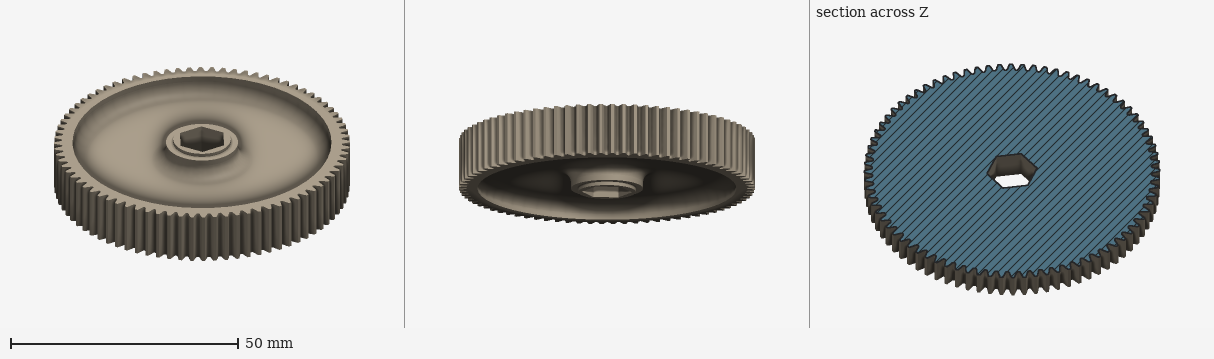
import cadquery as cq
import math

overall_width = 65.05
face_width = 11.1
hub_length = 12.7

web_thickness = 2.55
pocket_fillet_radius = 3.0
rim_inner_radius = 28.5
boss_radius = 7.95
hub_diameter = 12.7
hex_across_flats = 9.55

tooth_count = 80
pressure_angle = math.radians(20)
addendum_factor = 1.0
dedendum_factor = 1.25
tooth_pitch = 2 * math.pi / tooth_count


def half_gap_angle(radius_ratio):
    """Half of the angle left open by a tooth gap, at a radius given as a multiple of the pitch radius."""
    local_pressure_angle = math.acos(math.cos(pressure_angle) / radius_ratio)
    involute_at_pitch = math.tan(pressure_angle) - pressure_angle
    involute_here = math.tan(local_pressure_angle) - local_pressure_angle
    return tooth_pitch / 4 - involute_at_pitch + involute_here


tip_ratio = 1 + 2 * addendum_factor / tooth_count
tip_half_gap = half_gap_angle(tip_ratio)
tip_radius = overall_width / 2 / math.cos(tip_half_gap)
pitch_radius = tip_radius / tip_ratio
module = 2 * pitch_radius / tooth_count
root_radius = pitch_radius - dedendum_factor * module

floor_radius = 0.4
floor_point_angles = (math.radians(35), math.radians(70))
floor_centre_radius = root_radius + floor_radius

flank_height_factors = (-0.5, 0, 0.5, addendum_factor)


def polar(radius, angle):
    """Point at the given radius and angle from +X."""
    return radius * math.cos(angle), radius * math.sin(angle)


def half_gap_points():
    """Points up one side of the gap centred on +X, as (radius, angle), from above its bottom to the tip."""
    points = []
    for floor_angle in floor_point_angles:
        x = floor_centre_radius - floor_radius * math.cos(floor_angle)
        y = floor_radius * math.sin(floor_angle)
        points.append((math.hypot(x, y), math.atan2(y, x)))
    for height_factor in flank_height_factors:
        radius = pitch_radius + height_factor * module
        points.append((radius, half_gap_angle(radius / pitch_radius)))
    return points


def gear_blank():
    """Solid toothed disc. Each gap is one smooth curve: down a flank, round the floor and up the next."""
    right_side = half_gap_points()
    left_side = [(radius, -angle) for radius, angle in reversed(right_side)]
    gap_profile = left_side + [(root_radius, 0)] + right_side
    outline = cq.Workplane("XY").workplane(offset=-face_width / 2)
    outline = outline.moveTo(*polar(tip_radius, -tip_half_gap))
    for index in range(tooth_count):
        gap_centre = index * tooth_pitch
        tooth_centre = gap_centre + tooth_pitch / 2
        next_gap_start = gap_centre + tooth_pitch - tip_half_gap
        gap_points = [polar(radius, gap_centre + angle) for radius, angle in gap_profile[1:]]
        outline = outline.spline(gap_points, includeCurrent=True)
        outline = outline.threePointArc(polar(tip_radius, tooth_centre), polar(tip_radius, next_gap_start))
    return outline.close().extrude(face_width)


def upper_pocket():
    """Ring-shaped recess above the web, with both floor corners filleted."""
    return (
        cq.Workplane("XY")
        .workplane(offset=web_thickness / 2)
        .circle(rim_inner_radius)
        .circle(boss_radius)
        .extrude((face_width - web_thickness) / 2)
        .faces("<Z")
        .edges()
        .fillet(pocket_fillet_radius)
    )


def hub():
    """Central cylinder standing slightly proud of both gear faces."""
    return cq.Workplane("XY").circle(hub_diameter / 2).extrude(hub_length / 2, both=True)


def hex_bore():
    """Hexagonal through bore with two corners on the X axis."""
    hex_across_corners = hex_across_flats / math.cos(math.pi / 6)
    return cq.Workplane("XY").polygon(6, hex_across_corners).extrude(hub_length / 2, both=True)


pocket = upper_pocket()
result = gear_blank().cut(pocket).cut(pocket.mirror("XY")).union(hub()).cut(hex_bore())